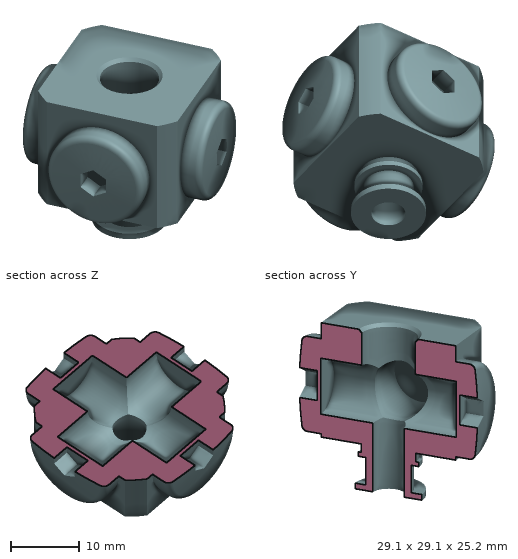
import cadquery as cq
import math

body_width = 22.0
body_height = 18.0
body_corner_diameter = 28.0

overall_width = 29.12
plug_diameter = 15.0
plug_height = 8.0
plug_dome_radius = 53.87
plug_edge_radius = 1.0
socket_across_flats = 4.0
socket_depth = 2.9

stem_steps = [(9.0, 1.25), (10.0, 0.75), (7.5, 4.22), (11.0, 0.95)]

bore_diameter = 8.7
bore_mouth_chamfer = 0.5
stem_bore_diameter = 5.0

plug_radius = plug_diameter / 2
half_body = body_width / 2
half_overall = overall_width / 2
stem_length = sum(length for _, length in stem_steps)


def make_body():
    block = cq.Workplane("XY").rect(body_width, body_width).extrude(body_height)
    turned = cq.Workplane("XY").circle(body_corner_diameter / 2).extrude(body_height)
    return block.intersect(turned)


def make_stem():
    stem = cq.Workplane("XY")
    top = 0
    for diameter, length in stem_steps:
        step = cq.Workplane("XY").workplane(offset=top).circle(diameter / 2).extrude(-length)
        stem = stem.union(step)
        top -= length
    return stem


def make_plug():
    """Plug pointing along +X: straight wall, rounded edge, spherical face and hex socket."""
    socket_radius = socket_across_flats / 2
    dome_center = half_overall - math.sqrt(plug_dome_radius**2 - socket_radius**2)
    apex_x = dome_center + plug_dome_radius

    round_r = plug_radius - plug_edge_radius
    round_x = dome_center + math.sqrt((plug_dome_radius - plug_edge_radius) ** 2 - round_r**2)

    def dome_point(angle):
        return dome_center + plug_dome_radius * math.cos(angle), plug_dome_radius * math.sin(angle)

    def round_point(angle):
        return round_x + plug_edge_radius * math.cos(angle), round_r + plug_edge_radius * math.sin(angle)

    tangent_angle = math.atan2(round_r, round_x - dome_center)
    round_middle = (tangent_angle + math.pi / 2) / 2

    plug = (
        cq.Workplane("XY")
        .moveTo(half_body, 0)
        .lineTo(half_body, plug_radius)
        .lineTo(round_x, plug_radius)
        .threePointArc(round_point(round_middle), round_point(tangent_angle))
        .threePointArc(dome_point(tangent_angle / 2), (apex_x, 0))
        .close()
        .revolve(360, (0, 0, 0), (1, 0, 0))
    )

    socket = (
        cq.Workplane("YZ")
        .workplane(offset=apex_x)
        .polygon(6, socket_across_flats / math.cos(math.pi / 6))
        .extrude(-socket_depth)
        .rotate((0, 0, 0), (1, 0, 0), 90)
    )
    return plug.cut(socket).translate((0, 0, plug_height))


def make_passages():
    """Top bore meeting two crossing horizontal bores, with a narrower bore down the stem."""
    bore_radius = bore_diameter / 2
    passages = cq.Workplane("XY").workplane(offset=plug_height).circle(bore_radius).extrude(
        body_height - plug_height
    )
    for plane in ("YZ", "XZ"):
        cross_bore = cq.Workplane(plane).center(0, plug_height).circle(bore_radius)
        passages = passages.union(cross_bore.extrude(half_body, both=True))

    stem_bore = (
        cq.Workplane("XY")
        .workplane(offset=-stem_length)
        .circle(stem_bore_diameter / 2)
        .extrude(stem_length + plug_height)
    )
    mouth = (
        cq.Workplane("XY")
        .workplane(offset=body_height)
        .circle(bore_radius + bore_mouth_chamfer)
        .extrude(-bore_mouth_chamfer, taper=45)
    )
    return passages.union(stem_bore).union(mouth)


result = make_body().union(make_stem()).cut(make_passages())
plug = make_plug()
for quarter_turn in range(4):
    result = result.union(plug.rotate((0, 0, 0), (0, 0, 1), 90 * quarter_turn))